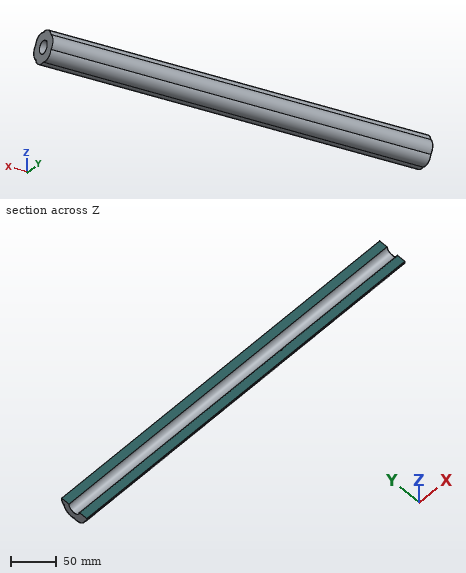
import cadquery as cq
import math

length = 500.0
lobe_count = 6
lobe_radius = 12.5
tip_radius = 20.0
bore_diameter = 16.0

lobe_offset = tip_radius - lobe_radius
lobe_pitch = 2 * math.pi / lobe_count

ROD_DIRECTION = cq.Vector(1, 0, 0)


def rod(radius, y, z):
    """Full-length round rod parallel to X, centred at (y, z)."""
    return cq.Workplane(cq.Solid.makeCylinder(radius, length, cq.Vector(0, y, z), ROD_DIRECTION))


def lobed_bar():
    """Ring of overlapping rods; the first lobe lies on +Y and valleys form where they cross."""
    bar = cq.Workplane()
    for index in range(lobe_count):
        angle = index * lobe_pitch
        lobe = rod(lobe_radius, lobe_offset * math.cos(angle), lobe_offset * math.sin(angle))
        bar = bar.union(lobe) if index else lobe
    return bar


def bore():
    """Round hole on the bar axis, through the full length."""
    return rod(bore_diameter / 2, 0, 0)


result = lobed_bar().cut(bore())